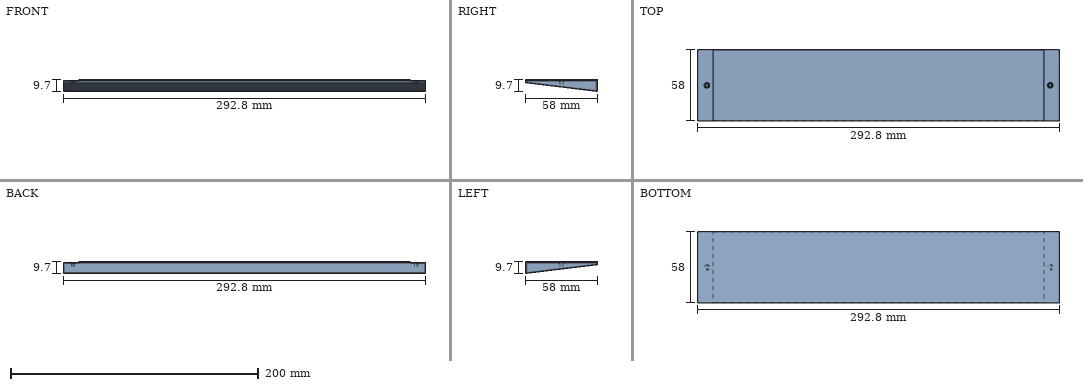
import math

import cadquery as cq

length = 292.8
width = 58.0
height = 9.7

panel_rise = 1.0
end_margin = 12.5
panel_length = length - 2 * end_margin

corner_radius = 1.0
edge_radius = 0.5

slope = math.radians(6.9)
body_top = height - panel_rise

sharp_back_z = -edge_radius * (math.tan(slope) + 1 / math.cos(slope) - 1)
sharp_front_z = sharp_back_z + width * math.tan(slope)

hole_diameter = 2.52
hole_depth = 3.0
countersink_diameter = 4.5
countersink_angle = 90
hole_inset = 7.5


def wedge_body():
    """Plate with a flat top and a bottom that slopes down towards the back, all edges rounded."""
    profile = [
        (-width / 2, body_top),
        (-width / 2, sharp_front_z),
        (width / 2, sharp_back_z),
        (width / 2, body_top),
    ]
    wedge = cq.Workplane("YZ").polyline(profile).close().extrude(length / 2, both=True)
    return wedge.edges("|Z").fillet(corner_radius).edges("not |Z").fillet(edge_radius)


def raised_panel():
    """Full-width pad with a margin at each end, rounded at its corners and around its top."""
    panel = cq.Workplane("XY").workplane(offset=body_top).rect(panel_length, width).extrude(panel_rise)
    return panel.edges("|Z").fillet(corner_radius).faces(">Z").edges().fillet(edge_radius)


def drill_screw_holes(body):
    """Blind countersunk holes on the centre line, one in each end margin."""
    hole_x = length / 2 - hole_inset
    return (
        body.faces(">Z")
        .workplane(origin=(0, 0, body_top))
        .pushPoints([(-hole_x, 0), (hole_x, 0)])
        .cskHole(hole_diameter, countersink_diameter, countersink_angle, depth=hole_depth)
    )


result = drill_screw_holes(wedge_body()).union(raised_panel())